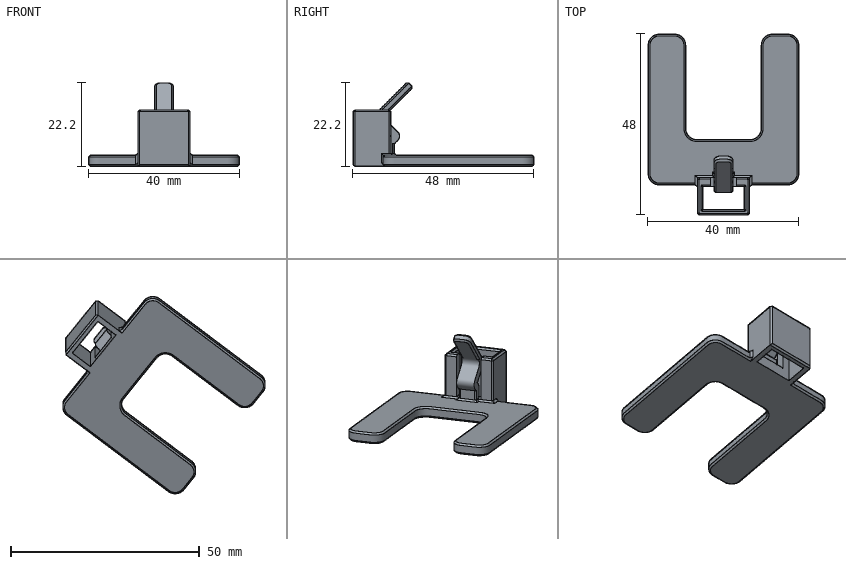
import cadquery as cq
import math


chamfer = 0.5
weld = 0.5
side_weld = 0.65

overall_length = 48.0
overall_height = 22.15
plate_size = 40.0
plate_thickness = 3.0
leg_width = 10.0
slot_depth = 28.0
corner_radius = 3.0

socket_width = 13.85
socket_height = 15.0
socket_front = plate_size - overall_length
socket_back = 2.0
side_wall = 1.45
front_wall = 1.5
back_wall = 2.5
cavity_front = socket_front + front_wall
cavity_back = socket_back - back_wall

clip_width = 5.0
notch_width = 7.0
leaf_thickness = 2.0
leaf_back = 3.0
leaf_front = leaf_back - leaf_thickness
strip_thickness = 2.1
strip_rise = strip_thickness * math.sqrt(2)
catch_tip_y = 5.0
catch_tip_z = 8.0
fold_z = catch_tip_z + catch_tip_y
fold_front = -1.15
lever_foot_y = -2.0
bend_radius = 1.5
lever_tip_radius = 1.5
chamfer_drop = chamfer / math.sqrt(2)
lever_reach = overall_height - fold_z - strip_rise / 2 + chamfer_drop
floor_z = plate_thickness + weld


def block(width, y_range, z_range):
    """Box centred on X between the given Y and Z limits."""
    y0, y1 = y_range
    z0, z1 = z_range
    return cq.Workplane("XY").box(width, y1 - y0, z1 - z0).translate((0, (y0 + y1) / 2, (z0 + z1) / 2))


def side_prism(points, width):
    """Prism centred on X from a (Y, Z) outline."""
    return cq.Workplane("YZ").polyline(points).close().extrude(width / 2, both=True)


def make_plate():
    slot_width = plate_size - 2 * leg_width
    slot_floor = plate_size - slot_depth
    plate = block(plate_size, (0, plate_size), (0, plate_thickness))
    plate = plate.cut(block(slot_width, (slot_floor, plate_size), (0, plate_thickness)))
    plate = plate.edges("|Z").fillet(corner_radius)
    return plate.faces("<Z or >Z").edges().chamfer(chamfer)


def make_socket():
    socket = block(socket_width, (socket_front, socket_back), (0, socket_height))
    socket = socket.edges("|Z").chamfer(chamfer)
    socket = socket.faces(">Z").edges().chamfer(chamfer)
    return socket.faces("<Z").edges("<Y").chamfer(chamfer)


def make_socket_weld():
    """Sloped collar where the socket sides and back meet the plate."""
    inner = socket_width / 2
    outer = inner + side_weld
    top = plate_thickness + weld
    back = socket_back + weld
    plan = [(-outer, back), (outer, back), (outer, 0), (inner, -weld), (-inner, -weld), (-outer, 0)]
    front = [(-outer, 0), (outer, 0), (outer, plate_thickness), (inner, top), (-inner, top),
             (-outer, plate_thickness)]
    side = [(chamfer, 0), (back, 0), (back, plate_thickness), (socket_back, top), (-weld, top),
            (-weld, chamfer + weld)]
    collar = cq.Workplane("XY").polyline(plan).close().extrude(top)
    collar = collar.intersect(cq.Workplane("XZ").polyline(front).close().extrude(plate_size, both=True))
    return collar.intersect(side_prism(side, plate_size))


def make_leaf_weld():
    """Sloped collar around the foot of the spring leaf, its front half buried in the socket."""
    length = 2 * (leaf_back + weld - socket_back)
    return (
        cq.Workplane("XY", origin=(0, socket_back, plate_thickness))
        .rect(clip_width + 2 * weld, length)
        .extrude(weld, taper=45)
    )


def make_cavity():
    cavity_width = socket_width - 2 * side_wall
    cavity_length = cavity_back - cavity_front
    cavity = block(cavity_width, (cavity_front, cavity_back), (0, socket_height))
    rim = (
        cq.Workplane("XY", origin=(0, cavity_front + cavity_length / 2, socket_height - chamfer))
        .rect(cavity_width, cavity_length)
        .extrude(chamfer, taper=-45)
    )
    notch = block(notch_width, (cavity_back, socket_back), (floor_z, socket_height))
    return cavity.union(rim).union(notch)


def make_spring():
    """Leaf standing on the notch floor, then the catch and the fold that carries the lever."""
    leaf_top = catch_tip_z - (catch_tip_y - leaf_back)
    dent_y = catch_tip_y - strip_rise
    fold_bottom = fold_z - strip_rise - fold_front
    tangent = bend_radius / math.sqrt(2)
    arc_depth = bend_radius * (math.sqrt(2) - 1)
    strip = (
        cq.Workplane("YZ")
        .moveTo(leaf_back, leaf_top)
        .lineTo(catch_tip_y, catch_tip_z)
        .lineTo(tangent, fold_z - tangent)
        .threePointArc((arc_depth, fold_z), (tangent, fold_z + tangent))
        .lineTo(0, fold_z + tangent)
        .lineTo(fold_front, fold_z + chamfer)
        .lineTo(fold_front, fold_bottom)
        .lineTo(dent_y, catch_tip_z)
        .lineTo(leaf_front, catch_tip_z - (dent_y - leaf_front))
        .lineTo(leaf_front, leaf_top)
        .close()
        .extrude(clip_width / 2, both=True)
    )
    for corner in ((0, catch_tip_y, catch_tip_z), (0, fold_front, fold_bottom)):
        strip = strip.edges(cq.selectors.NearestToPointSelector(corner)).fillet(bend_radius)
    leaf = block(clip_width, (leaf_front, leaf_back), (plate_thickness, leaf_top))
    leaf = leaf.edges("|Z and >Y").chamfer(chamfer)
    return strip.union(leaf)


def make_lever():
    """Finger tab rising backwards at 45 degrees, its square foot overhanging the fold."""
    foot = -lever_foot_y * math.sqrt(2) - strip_thickness
    length = lever_reach * math.sqrt(2) + foot
    lever = cq.Workplane("XY").box(clip_width, length, strip_thickness, centered=(True, False, False))
    lever = lever.edges("|Z and >Y").fillet(lever_tip_radius)
    lever = lever.faces("<Z or >Z").edges("not <Y").chamfer(chamfer)
    lever = lever.translate((0, -foot, 0))
    return lever.rotate((0, 0, 0), (1, 0, 0), 45).translate((0, 0, fold_z))


body = make_plate().union(make_socket()).union(make_socket_weld()).union(make_leaf_weld())
body = body.cut(make_cavity())
result = body.union(make_spring()).union(make_lever())